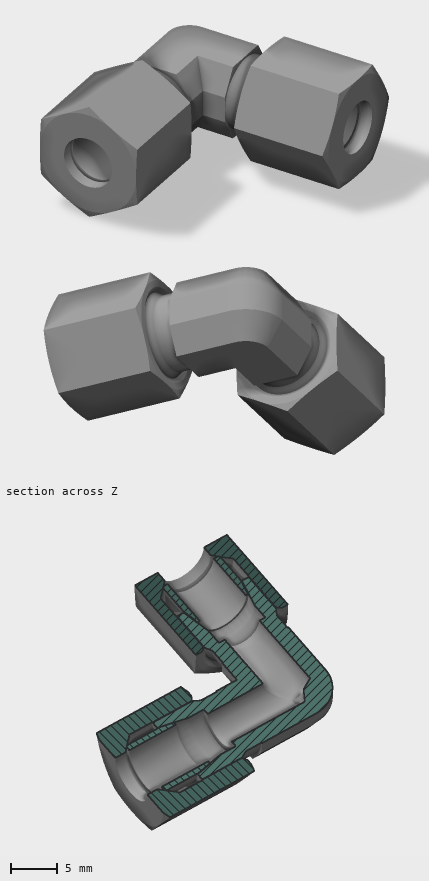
import cadquery as cq
import math


OVERALL_SIZE = 27.93

NUT_FLATS = 12.0
NUT_CORNER_RADIUS = NUT_FLATS / math.sqrt(3)
NUT_START = 9.5
NUT_END = OVERALL_SIZE - NUT_CORNER_RADIUS
NUT_CHAMFER_ANGLE = 15.0
NUT_MOUTH_RADIUS = 5.25
NUT_COUNTERSINK_ANGLE = 120.0
NUT_THROAT_LENGTH = 1.35

TUBE_RADIUS = 3.0
BORE_RADIUS = 2.248
THREAD_RADIUS = 4.72
DRILL_TIP_ANGLE = 120.0

ELBOW_FLATS = 9.0
ELBOW_HALF_WIDTH = 4.3
SHOULDER = 7.0
NECK_RADIUS = 4.22
NECK_END = 9.0
NECK_FLARE_ANGLE = 30.0
TUBE_STOP = 9.5
SPIGOT_END = 15.0

SEAT_RADIUS = 3.75
SEAT_HALF_ANGLE = 12.0
RING_NOSE_LENGTH = 1.95
RING_END = 19.15

CONE_END = NUT_END - NUT_THROAT_LENGTH
CONE_START = CONE_END - (THREAD_RADIUS - TUBE_RADIUS)

ARMS = [(0, 0), (90, -90)]


def tan(angle):
    return math.tan(math.radians(angle))


def turned(profile):
    """Solid of revolution about X from (distance, radius) points."""
    return cq.Workplane("XY").polyline(profile).close().revolve(360, (0, 0, 0), (1, 0, 0))


def place(shape, roll, heading):
    """Turn a shape made along +X onto its arm."""
    return shape.rotate((0, 0, 0), (1, 0, 0), roll).rotate((0, 0, 0), (0, 0, 1), heading)


def make_nut():
    chamfer_length = (NUT_CORNER_RADIUS - NUT_FLATS / 2) * tan(NUT_CHAMFER_ANGLE)
    countersink_depth = (NUT_MOUTH_RADIUS - THREAD_RADIUS) / tan(NUT_COUNTERSINK_ANGLE / 2)
    hexagon = (
        cq.Workplane("YZ", origin=(NUT_START, 0, 0))
        .polygon(6, 2 * NUT_CORNER_RADIUS)
        .extrude(NUT_END - NUT_START)
    )
    chamfer_envelope = turned([
        (NUT_START, 0),
        (NUT_START, NUT_FLATS / 2),
        (NUT_START + chamfer_length, NUT_CORNER_RADIUS),
        (NUT_END - chamfer_length, NUT_CORNER_RADIUS),
        (NUT_END, NUT_FLATS / 2),
        (NUT_END, 0),
    ])
    cavity = turned([
        (NUT_START, 0),
        (NUT_START, NUT_MOUTH_RADIUS),
        (NUT_START + countersink_depth, THREAD_RADIUS),
        (CONE_START, THREAD_RADIUS),
        (CONE_END, TUBE_RADIUS),
        (NUT_END, TUBE_RADIUS),
        (NUT_END, 0),
    ])
    return hexagon.intersect(chamfer_envelope).cut(cavity).solids()


def make_ring():
    nose_radius = SEAT_RADIUS - RING_NOSE_LENGTH * tan(SEAT_HALF_ANGLE)
    face_radius = TUBE_RADIUS + CONE_END - RING_END
    return turned([
        (SPIGOT_END - RING_NOSE_LENGTH, TUBE_RADIUS),
        (SPIGOT_END - RING_NOSE_LENGTH, nose_radius),
        (SPIGOT_END, SEAT_RADIUS),
        (RING_END - (SEAT_RADIUS - face_radius), SEAT_RADIUS),
        (RING_END, face_radius),
        (RING_END, TUBE_RADIUS),
    ])


HALF_HEIGHT = ELBOW_FLATS / 2
FLAT_HALF_WIDTH = HALF_HEIGHT / math.sqrt(3)
SIDE_HALF_HEIGHT = (2 * FLAT_HALF_WIDTH - ELBOW_HALF_WIDTH) * math.sqrt(3)


def make_elbow_arm():
    quarter = [(ELBOW_HALF_WIDTH, SIDE_HALF_HEIGHT), (FLAT_HALF_WIDTH, HALF_HEIGHT)]
    upper = quarter + [(-y, z) for y, z in reversed(quarter)]
    section = upper + [(y, -z) for y, z in reversed(upper)]
    return cq.Workplane("YZ").polyline(section).close().extrude(SHOULDER)


def make_elbow_corner():
    """Half of the arm section turned about Z to round the outside of the bend."""
    half_section = [
        (0, -HALF_HEIGHT),
        (FLAT_HALF_WIDTH, -HALF_HEIGHT),
        (ELBOW_HALF_WIDTH, -SIDE_HALF_HEIGHT),
        (ELBOW_HALF_WIDTH, SIDE_HALF_HEIGHT),
        (FLAT_HALF_WIDTH, HALF_HEIGHT),
        (0, HALF_HEIGHT),
    ]
    return cq.Workplane("XZ").polyline(half_section).close().revolve(360, (0, 0, 0), (0, 1, 0))


def make_spigot():
    flare_length = (THREAD_RADIUS - NECK_RADIUS) / tan(NECK_FLARE_ANGLE)
    return turned([
        (0, 0),
        (0, NECK_RADIUS),
        (NECK_END, NECK_RADIUS),
        (NECK_END + flare_length, THREAD_RADIUS),
        (SPIGOT_END, THREAD_RADIUS),
        (SPIGOT_END, 0),
    ])


def make_bore():
    """Drilled bore with a conical tip, tube socket and ring seat."""
    tip_length = BORE_RADIUS / tan(DRILL_TIP_ANGLE / 2)
    seat_length = (SEAT_RADIUS - TUBE_RADIUS) / tan(SEAT_HALF_ANGLE)
    return turned([
        (-tip_length, 0),
        (0, BORE_RADIUS),
        (TUBE_STOP, BORE_RADIUS),
        (TUBE_STOP, TUBE_RADIUS),
        (SPIGOT_END - seat_length, TUBE_RADIUS),
        (SPIGOT_END, SEAT_RADIUS),
        (SPIGOT_END, 0),
    ])


def make_elbow():
    elbow = make_elbow_corner()
    for _, heading in ARMS:
        elbow = elbow.union(place(make_elbow_arm(), 0, heading))
        elbow = elbow.union(place(make_spigot(), 0, heading))
    for _, heading in ARMS:
        elbow = elbow.cut(place(make_bore(), 0, heading))
    return elbow.solids()


elbow = make_elbow()
nuts = [place(make_nut(), roll, heading) for roll, heading in ARMS]
rings = [place(make_ring(), roll, heading) for roll, heading in ARMS]

result = cq.Compound.makeCompound([
    elbow.val(),
    *[nut.val() for nut in nuts],
    *[ring.val() for ring in rings],
])